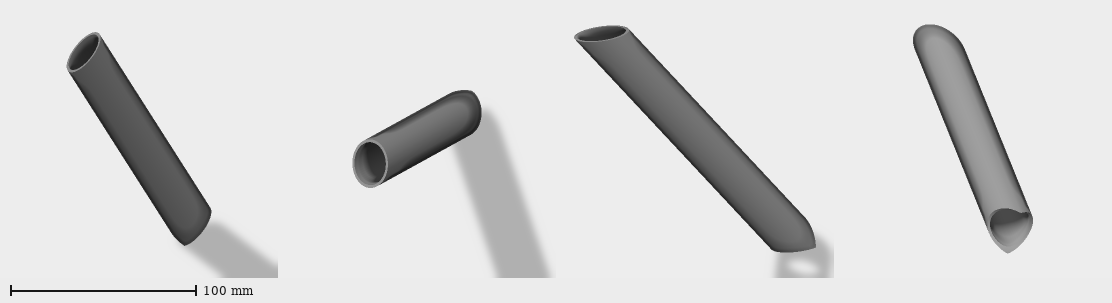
import cadquery as cq
import math

tube_radius = 12.5
wall = 1.5
axis_length = 220.3
slope_angle = 57.8
mitre_angle = 45
saddle_radius = tube_radius

bore_radius = tube_radius - wall
end_allowance = 2 * tube_radius
blank_length = axis_length + 2 * end_allowance


def tube_blank():
    """Straight tube along Z, with the saddle centre at the origin."""
    section = cq.Workplane("XY").workplane(offset=-end_allowance)
    return section.circle(tube_radius).circle(bore_radius).extrude(blank_length)


def mitre_cutter():
    """Solid above the mitre plane, which rises toward +X."""
    half_run = 2 * tube_radius
    rise = half_run / math.tan(math.radians(mitre_angle))
    top = axis_length + rise + end_allowance
    return (
        cq.Workplane("XZ")
        .moveTo(-half_run, axis_length - rise)
        .lineTo(half_run, axis_length + rise)
        .lineTo(half_run, top)
        .lineTo(-half_run, top)
        .close()
        .extrude(half_run, both=True)
    )


def saddle_cutter():
    """Mating round bar along X, together with everything below its centre."""
    half_width = 2 * tube_radius
    bar = cq.Workplane("YZ").circle(saddle_radius).extrude(half_width, both=True)
    below = cq.Workplane("XY").rect(2 * half_width, 2 * half_width).extrude(-2 * end_allowance)
    return bar.union(below)


upright = tube_blank().cut(mitre_cutter()).cut(saddle_cutter())
result = upright.rotate((0, 0, 0), (1, 0, 0), 90 - slope_angle)